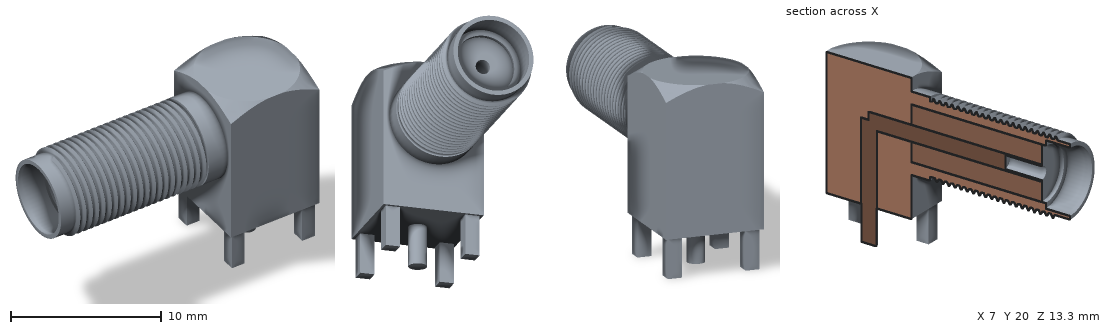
import cadquery as cq
import math

block_side = 7.0
block_height = 10.45
half_block = block_side / 2
top_circle_diameter = 7.1
top_chamfer_angle = 34.0

leg_side = 1.0
leg_length = 2.8
leg_inset = 0.22

barrel_axis_height = 6.35
barrel_length = 13.0
collar_diameter = 6.2
collar_length = 1.5
barrel_diameter = 5.6
mouth_diameter = 5.0
mouth_depth = 2.0
insulator_diameter = 4.2
insulator_recess = 0.32

thread_diameter = 6.2
thread_pitch = 0.5
thread_turns = 20.4
thread_setback = 1.2
thread_angle = 60.0
thread_root_sink = 0.02

contact_diameter = 1.2
socket_diameter = 1.0
socket_depth = 3.0
tail_diameter = 1.25

block_front_y = -half_block
mouth_y = block_front_y - barrel_length
lip_y = mouth_y + mouth_depth
insulator_face_y = lip_y + insulator_recess


def barrel_cylinder(diameter, start_y, end_y):
    """Cylinder on the barrel axis between two Y positions."""
    start = cq.Vector(0, start_y, barrel_axis_height)
    solid = cq.Solid.makeCylinder(diameter / 2, end_y - start_y, start, cq.Vector(0, 1, 0))
    return cq.Workplane(solid)


def tail_cylinder():
    """Vertical round tail from the leg ends up to the barrel axis."""
    height = leg_length + barrel_axis_height
    return cq.Workplane("XY", origin=(0, 0, -leg_length)).circle(tail_diameter / 2).extrude(height)


def make_block():
    """Block whose top corners are cut by a cone slightly wider than the block at its top."""
    block = cq.Workplane("XY").rect(block_side, block_side).extrude(block_height)
    top_radius = top_circle_diameter / 2
    cone_reach = block_height / math.tan(math.radians(top_chamfer_angle))
    cone = cq.Solid.makeCone(top_radius + cone_reach, top_radius, block_height)
    return block.intersect(cq.Workplane(cone))


def make_legs():
    """Four square legs below the corners of the block."""
    spacing = block_side - 2 * leg_inset - leg_side
    return (
        cq.Workplane("XY")
        .rarray(spacing, spacing, 2, 2)
        .rect(leg_side, leg_side)
        .extrude(-leg_length)
    )


def make_thread():
    """Helical ridge built along +Z, then laid along +Y so that it starts at the top of the barrel."""
    root_radius = barrel_diameter / 2 - thread_root_sink
    crest_radius = thread_diameter / 2
    half_width = (crest_radius - root_radius) * math.tan(math.radians(thread_angle / 2))
    helix = cq.Wire.makeHelix(thread_pitch, thread_pitch * thread_turns, root_radius)
    ridge = (
        cq.Workplane("XZ")
        .polyline([(root_radius, -half_width), (crest_radius, 0), (root_radius, half_width)])
        .close()
        .sweep(cq.Workplane(helix), isFrenet=True)
    )
    start_toward_front = ridge.rotate((0, 0, 0), (0, 0, 1), -90)
    along_barrel = start_toward_front.rotate((0, 0, 0), (1, 0, 0), -90)
    return along_barrel.translate((0, mouth_y + thread_setback, barrel_axis_height))


def make_housing():
    """Block, legs and threaded barrel, bored for the insulator and the contact."""
    collar = barrel_cylinder(collar_diameter, block_front_y - collar_length, block_front_y)
    barrel = barrel_cylinder(barrel_diameter, mouth_y, block_front_y)
    outside = make_block().union(make_legs()).union(barrel).union(make_thread()).union(collar)
    mouth = barrel_cylinder(mouth_diameter, mouth_y, lip_y)
    insulator_bore = barrel_cylinder(insulator_diameter, lip_y, block_front_y)
    contact_bore = barrel_cylinder(contact_diameter, block_front_y, 0).union(tail_cylinder())
    return outside.cut(mouth).cut(insulator_bore).cut(contact_bore)


def make_insulator():
    """Sleeve that fills the barrel around the contact, set back from the lip."""
    sleeve = barrel_cylinder(insulator_diameter, insulator_face_y, block_front_y)
    return sleeve.cut(barrel_cylinder(contact_diameter, insulator_face_y, block_front_y))


def make_contact():
    """Rod on the barrel axis with a socket in its end, joined to the vertical tail."""
    rod = barrel_cylinder(contact_diameter, insulator_face_y, 0)
    socket = barrel_cylinder(socket_diameter, insulator_face_y, insulator_face_y + socket_depth)
    return rod.union(tail_cylinder()).cut(socket)


housing = make_housing()
insulator = make_insulator()
contact = make_contact()

result = cq.Compound.makeCompound([body.solids().val() for body in (housing, insulator, contact)])